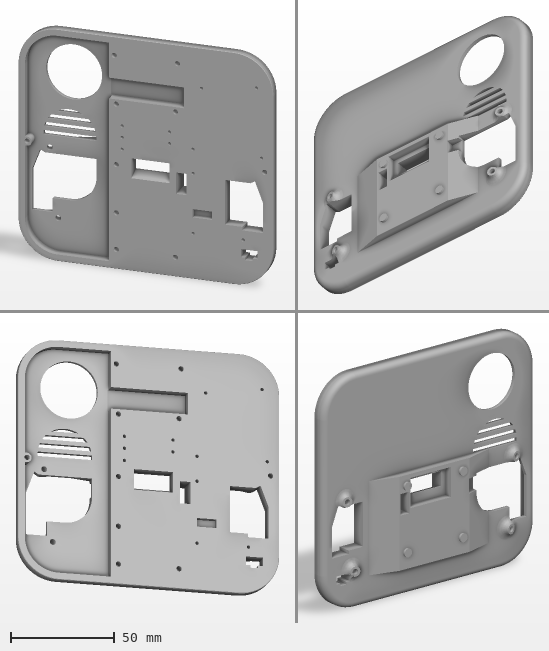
import cadquery as cq
import math

length = 130.0
height = 120.0
thickness = 7.0
corner_radius = 20.0
back_edge_fillet = 3.0
front_edge_chamfer = 0.3

recess_depth = 5.0
rim_width = 3.4
recess_right = -18.7

total_depth = 12.5
block_back = 11.2
block_top = 2.9
block_bottom = -45.2
block_base_half = 36.8
block_crest_half = 21.6
peg_radius = 2.2
peg_x = 17.0
peg_z = (-2.7, -36.8)

boss_places = ((-50.7, -3.8), (-46.4, -39.9))
boss_tilt = 15.0
boss_radius = 2.6
boss_fillet = 3.6
boss_hole_radius = 1.4
boss_hole_start = 1.3
select_margin = 0.1
boss_top_x = -50.7
boss_top_y = 9.6

post_x = 60.6
post_radius = 2.3
screw_radius = 1.3
screw_depth = 5.2
screw_places = (
    (-16.1, 50.3), (16.1, 50.3),
    (-15.1, 25.2), (15.1, 25.2),
    (-15.1, -6.1), (-15.1, -31.1),
    (-15.1, -50.0), (15.1, -50.0),
    (-post_x, 0.0), (post_x, 0.0),
)
pilot_radius = 0.85
pilot_depth = 3.9
pilot_places = (
    (28.3, 39.1), (56.4, 43.0),
    (-12.1, 14.3), (12.1, 14.3),
    (-12.1, 8.3), (12.1, 8.3),
    (-12.1, 2.2),
    (24.0, 7.0), (59.0, 7.0),
    (24.0, -5.5), (24.0, -36.5), (49.7, -36.5),
)

window_x = -38.4
window_z = 36.9
window_radius = 14.3
grille_radius = 13.5
grille_x = -40.4
grille_z = 3.8
slot_count = 4
slot_width = 2.2
slot_pitch = 4.3

opening_top = -6.6
opening_bottom = -29.8
opening_outer = 59.7
opening_slant_z = -15.9
opening_peak = (55.6, -5.3)
opening_peak_end = 53.3
opening_step = 49.3
left_opening_right = grille_x + grille_radius
left_opening_foot = -37.0
right_opening_left = 40.4
right_opening_foot = -31.6

notch_top = -7.8
notch_bottom = -15.3
notch_right = -21.0

display_left = -7.4
display_right = 12.1
display_top = -1.8
display_bottom = -12.1
ramp_rise = 2.2
ramp_depth = 6.5
lip_height = 0.32
display_margin = 2.6


label_pocket = (-19.2, 19.5, 27.7, 38.5, 5.5)
switch_window = (15.5, 20.8, -17.2, -6.1, total_depth)
small_pocket = (23.9, 33.7, -28.2, -23.9, 3.0)
port_window = (48.5, 57.0, -45.5, -41.3, total_depth)
port_key = (50.6, 54.5, -46.8, -45.5, total_depth)
cutouts = (label_pocket, switch_window, small_pocket, port_window, port_key)


def front_plane(y):
    """Sketch plane at depth y: local x is X, local y is Z, extruding towards +Y."""
    return cq.Workplane(cq.Plane(origin=(0, y, 0), xDir=(1, 0, 0), normal=(0, -1, 0)))


def box(left, right, bottom, top, front, back):
    return cq.Workplane("XY").box(
        right - left, back - front, top - bottom, centered=False
    ).translate((left, front, bottom))


def cylinders(places, radius, front, back):
    return front_plane(front).pushPoints(places).circle(radius).extrude(front - back)


def mirrored(shape):
    return shape.mirror("YZ")


def plate():
    body = box(-length / 2, length / 2, -height / 2, height / 2, 0, thickness)
    body = body.edges("|Y").fillet(corner_radius)
    body = body.faces(">Y").edges().fillet(back_edge_fillet)
    return body.faces("<Y").edges().chamfer(front_edge_chamfer)


def boss_plane(place):
    """Plane at a boss foot; its normal leans outward by the boss tilt."""
    tilt = math.radians(boss_tilt)
    return cq.Plane(
        origin=(place[0], recess_depth, place[1]),
        xDir=(0, 0, -1),
        normal=(-math.sin(tilt), math.cos(tilt), 0),
    )


def boss_length(place):
    """Distance along the tilted axis from a boss foot to the shared top plane."""
    tilt = math.radians(boss_tilt)
    across = (boss_top_x - place[0]) * -math.sin(tilt)
    return across + (boss_top_y - recess_depth) * math.cos(tilt)


def add_bosses(body):
    for place in boss_places:
        boss = cq.Workplane(boss_plane(place)).circle(boss_radius).extrude(boss_length(place))
        body = body.union(boss).union(mirrored(boss))
    reach = 2 * boss_radius
    half_span = reach - min(x for x, z in boss_places)
    lowest = min(z for x, z in boss_places) - reach
    highest = max(z for x, z in boss_places) + reach
    feet = cq.selectors.BoxSelector(
        (-half_span, thickness - select_margin, lowest),
        (half_span, thickness + select_margin, highest),
    )
    return body.edges(feet).fillet(boss_fillet)


def back_block():
    profile = [
        (-block_base_half, thickness),
        (-block_crest_half, block_back),
        (block_crest_half, block_back),
        (block_base_half, thickness),
        (block_base_half, recess_depth),
        (-block_base_half, recess_depth),
    ]
    block = cq.Workplane("XY").workplane(offset=block_bottom).polyline(profile).close()
    block = block.extrude(block_top - block_bottom)
    peg_places = [(x, z) for x in (-peg_x, peg_x) for z in peg_z]
    return block.union(cylinders(peg_places, peg_radius, recess_depth, total_depth))


def recess():
    left = rim_width - length / 2
    top = height / 2 - rim_width
    pocket = box(left, recess_right, -top, top, 0, recess_depth)
    pocket = pocket.edges("|Y and <X").fillet(corner_radius - rim_width)
    post = cylinders([(-post_x, 0)], post_radius, 0, recess_depth)
    web = box(-length / 2, -post_x, -post_radius, post_radius, 0, recess_depth)
    return pocket.cut(post).cut(web)


def grille():
    disc = cylinders([(grille_x, grille_z)], grille_radius, 0, thickness)
    left = grille_x - grille_radius
    right = grille_x + grille_radius
    slots = cq.Workplane("XY")
    for i in range(slot_count):
        middle = grille_z + i * slot_pitch
        slots = slots.add(box(left, right, middle - slot_width / 2, middle + slot_width / 2, 0, thickness))
    return slots.combine().intersect(disc)


def left_opening():
    half = math.sqrt(0.5) * grille_radius
    arc_z = opening_bottom + grille_radius
    return (
        front_plane(0)
        .moveTo(-opening_outer, opening_slant_z)
        .lineTo(-opening_peak[0], opening_peak[1])
        .lineTo(-opening_peak_end, opening_top)
        .lineTo(left_opening_right, opening_top)
        .lineTo(left_opening_right, arc_z)
        .threePointArc((grille_x + half, arc_z - half), (grille_x, opening_bottom))
        .lineTo(-opening_step, opening_bottom)
        .lineTo(-opening_step, left_opening_foot)
        .lineTo(-opening_outer, left_opening_foot)
        .close()
        .extrude(-total_depth)
    )


def right_opening():
    outline = [
        (opening_outer, opening_slant_z),
        opening_peak,
        (opening_peak_end, opening_top),
        (right_opening_left, opening_top),
        (right_opening_left, opening_bottom),
        (opening_step, opening_bottom),
        (opening_step, right_opening_foot),
        (opening_outer, right_opening_foot),
    ]
    return front_plane(0).polyline(outline).close().extrude(-total_depth)


def display_window():
    profile = [
        (0, display_bottom),
        (ramp_depth, display_bottom + ramp_rise),
        (ramp_depth, display_bottom + ramp_rise + lip_height),
        (thickness, display_bottom + ramp_rise + lip_height),
        (thickness, display_top),
        (0, display_top),
    ]
    side = cq.Workplane("YZ").workplane(offset=display_left).polyline(profile).close()
    relief = box(
        display_left - display_margin, display_right + display_margin,
        display_bottom - display_margin, display_top + display_margin,
        thickness, total_depth,
    )
    return side.extrude(display_right - display_left).union(relief)


def boss_holes():
    """Tilted drillings: through the thin recess floor on the left, blind on the right."""
    holes = cq.Workplane("XY")
    for place in boss_places:
        drill = cq.Workplane(boss_plane(place)).workplane(offset=-boss_hole_start)
        drill = drill.circle(boss_hole_radius).extrude(total_depth)
        holes = holes.add(drill).add(mirrored(drill))
    return holes.combine()


def notch():
    return box(-block_base_half, notch_right, notch_bottom, notch_top, thickness, total_depth)


body = add_bosses(plate()).union(back_block())
body = body.cut(recess()).cut(grille())
body = body.cut(cylinders([(window_x, window_z)], window_radius, 0, thickness))
body = body.cut(left_opening()).cut(right_opening()).cut(notch())
body = body.cut(display_window())
for left, right, bottom, top, depth in cutouts:
    body = body.cut(box(left, right, bottom, top, 0, depth))
body = body.cut(cylinders(screw_places, screw_radius, 0, screw_depth))
body = body.cut(cylinders(pilot_places, pilot_radius, 0, pilot_depth))
result = body.cut(boss_holes())